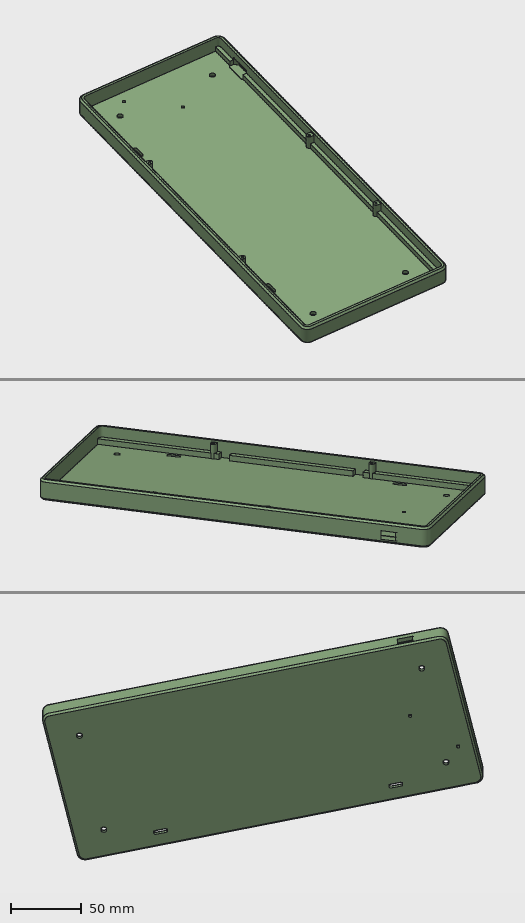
import cadquery as cq
import math

length = 293.2
width = 121.7
height = 15.2
corner_radius = 6.0
edge_chamfer = 1.5
floor_thickness = 3.0
wall = 3.2
inner_corner_radius = corner_radius - wall

inner_length = length - 2 * wall
inner_width = width - 2 * wall
wall_y = inner_width / 2

ledge_top = floor_thickness + 4.0
back_ledge_y = 54.5
front_ledge_y = 53.0
ledge_gap_length = 7.5
ledge_gap_centers_x = (-52.2, 48.5)

post_diameter = 4.0
post_hole_diameter = 1.6
post_top = 13.8
post_y = 54.8
post_centers = ((-23.7, post_y), (62.0, post_y), (-62.0, -post_y), (57.2, -post_y))

mount_hole_diameter = 4.0
mount_hole_spacing_x = 247.5
mount_hole_spacing_y = 78.0
small_hole_diameter = 2.2
small_hole_centers = ((-107.3, 3.2), (-134.8, -28.5))
slot_length = 10.0
slot_width = 3.0
slot_x = 85.0
slot_y = -49.2

port_center_x = -116.7
port_length = 16.7
port_window_length = 10.8
port_top = 9.0
port_bottom = 2.5
port_front_y = back_ledge_y - 1.0
port_front_radius = 1.2


def block(size_x, size_y, bottom, top):
    """Block centred on the Z axis between two heights."""
    return cq.Workplane("XY").workplane(offset=bottom).rect(size_x, size_y).extrude(top - bottom)


def cylinders(centers, diameter, bottom, top):
    """Upright cylinders between two heights."""
    return (
        cq.Workplane("XY")
        .workplane(offset=bottom)
        .pushPoints(centers)
        .circle(diameter / 2)
        .extrude(top - bottom)
    )


def outer_body():
    return (
        block(length, width, 0, height)
        .edges("|Z")
        .fillet(corner_radius)
        .faces("<Z or >Z")
        .edges()
        .chamfer(edge_chamfer)
    )


def cavity():
    return (
        block(inner_length, inner_width, floor_thickness, height)
        .edges("|Z")
        .fillet(inner_corner_radius)
    )


def ledge(side, front_y):
    """Ledge along one long wall; side is +1 for the back wall and -1 for the front wall."""
    depth = wall_y - front_y
    bar = block(inner_length, depth, floor_thickness, ledge_top)
    return bar.translate((0, side * (wall_y + front_y) / 2, 0))


def ledge_gaps():
    gap_depth = wall_y - front_ledge_y
    gap_y = -(wall_y + front_ledge_y) / 2
    gap = block(ledge_gap_length, gap_depth, floor_thickness, ledge_top)
    gaps = cq.Workplane("XY")
    for gap_x in ledge_gap_centers_x:
        gaps = gaps.union(gap.translate((gap_x, gap_y, 0)))
    return gaps


def posts():
    """Round posts, each with a straight web as wide as the post back to its wall."""
    web_depth = wall_y - post_y
    web = block(post_diameter, web_depth, floor_thickness, post_top)
    joined_posts = cylinders(post_centers, post_diameter, floor_thickness, post_top)
    for x, y in post_centers:
        web_y = math.copysign(post_y + web_depth / 2, y)
        joined_posts = joined_posts.union(web.translate((x, web_y, 0)))
    return joined_posts


def floor_openings():
    mount_holes = (
        cq.Workplane("XY")
        .rarray(mount_hole_spacing_x, mount_hole_spacing_y, 2, 2)
        .circle(mount_hole_diameter / 2)
        .extrude(floor_thickness)
    )
    small_holes = cylinders(small_hole_centers, small_hole_diameter, 0, floor_thickness)
    slots = (
        cq.Workplane("XY")
        .pushPoints([(-slot_x, slot_y), (slot_x, slot_y)])
        .slot2D(slot_length, slot_width)
        .extrude(floor_thickness)
    )
    return mount_holes.union(small_holes).union(slots)


def port():
    pocket_width = wall_y - port_front_y
    pocket = (
        block(port_length, pocket_width, port_bottom, port_top)
        .edges("|Z and <Y")
        .fillet(port_front_radius)
        .translate((port_center_x, port_front_y + pocket_width / 2, 0))
    )
    window_outline = [
        (port_center_x - port_length / 2, wall_y),
        (port_center_x + port_length / 2, wall_y),
        (port_center_x + port_window_length / 2, width / 2),
        (port_center_x - port_window_length / 2, width / 2),
    ]
    window = (
        cq.Workplane("XY")
        .workplane(offset=port_bottom)
        .polyline(window_outline)
        .close()
        .extrude(port_top - port_bottom)
    )
    return pocket.union(window)


ledges = ledge(1, back_ledge_y).union(ledge(-1, front_ledge_y)).cut(ledge_gaps())

result = (
    outer_body()
    .cut(cavity())
    .union(ledges.intersect(cavity()))
    .union(posts())
    .cut(cylinders(post_centers, post_hole_diameter, floor_thickness, post_top))
    .cut(floor_openings())
    .cut(port())
)